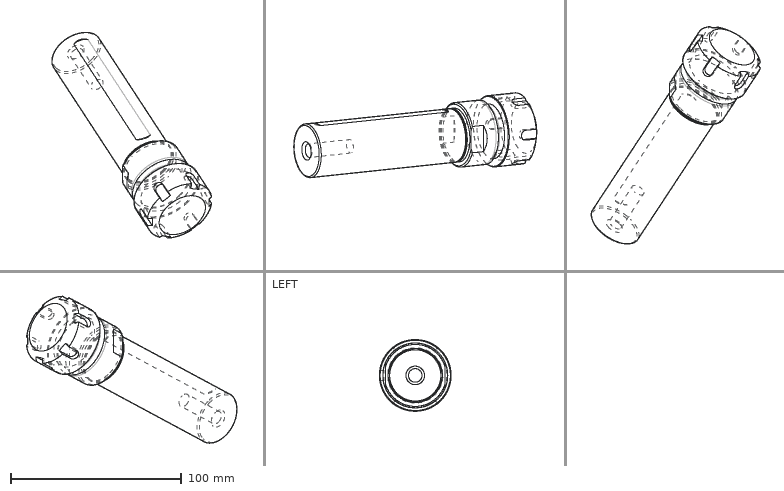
import cadquery as cq
import math

total_length = 147.3
shank_radius = 15.9
shank_chamfer = 0.9

groove_start = 98.9
groove_end = 99.7
groove_radius = 15.54

collar_start = 101.5
collar_radius = 19.08
collar_chamfer = 0.9
collar_cylinder_end = 117.4
collar_taper_start = 119.0
collar_rim_radius = 19.0
collar_taper_angle = 55
neck_radius = 16.2
taper_fillet = 1.0

nut_start = 124.8
nut_radius = 21.0
nut_chamfer = 0.5
nut_cone_start = 143.5
nut_face_radius = 15.0

slot_count = 6
slot_width = 5.9
slot_start = 133.5
slot_floor_radius = 18.4

wrench_half_width = 17.4
wrench_flat_end = 109.8

flat_start = 5.9
flat_end = 94.7
flat_width = 9.1
flat_end_bulge = 1.3

hole_radius = 4.0
hole_depth = 29.5
countersink_radius = 5.5


def revolved_body():
    slope = math.radians(collar_taper_angle)
    taper_foot = collar_taper_start + (collar_rim_radius - neck_radius) / math.tan(slope)
    tangent_length = taper_fillet * math.tan(slope / 2)
    fillet_start = (
        taper_foot - tangent_length * math.cos(slope),
        neck_radius + tangent_length * math.sin(slope),
    )
    fillet_end = (taper_foot + tangent_length, neck_radius)
    profile = (
        cq.Workplane("XY")
        .lineTo(0, shank_radius - shank_chamfer)
        .lineTo(shank_chamfer, shank_radius)
        .lineTo(groove_start, shank_radius)
        .lineTo(groove_start, groove_radius)
        .lineTo(groove_end, groove_radius)
        .lineTo(groove_end, shank_radius)
        .lineTo(collar_start, shank_radius)
        .lineTo(collar_start, collar_radius - collar_chamfer)
        .lineTo(collar_start + collar_chamfer, collar_radius)
        .lineTo(collar_cylinder_end, collar_radius)
        .lineTo(collar_taper_start, collar_rim_radius)
        .lineTo(*fillet_start)
        .tangentArcPoint(fillet_end, relative=False)
        .lineTo(nut_start, neck_radius)
        .lineTo(nut_start, nut_radius - nut_chamfer)
        .lineTo(nut_start + nut_chamfer, nut_radius)
        .lineTo(nut_cone_start, nut_radius)
        .lineTo(total_length, nut_face_radius)
        .lineTo(total_length, 0)
        .close()
    )
    return profile.revolve(360, (0, 0, 0), (1, 0, 0))


def spanner_slot(angle):
    """Round-ended slot cut from outside down to a flat floor, open at the front."""
    half_width = slot_width / 2
    arc_center = slot_start + half_width
    return (
        cq.Workplane("XZ", origin=(0, -slot_floor_radius, 0))
        .moveTo(total_length, -half_width)
        .lineTo(arc_center, -half_width)
        .threePointArc((slot_start, 0), (arc_center, half_width))
        .lineTo(total_length, half_width)
        .close()
        .extrude(nut_radius)
        .rotate((0, 0, 0), (1, 0, 0), angle)
    )


def wrench_flat():
    """Cutter for the -Y flat, ending in a 45 degree run-out."""
    outer = collar_radius + 1.5
    rise = outer - wrench_half_width
    return (
        cq.Workplane("XY")
        .moveTo(collar_start, -wrench_half_width)
        .lineTo(wrench_flat_end, -wrench_half_width)
        .lineTo(wrench_flat_end + rise, -outer)
        .lineTo(collar_start, -outer)
        .close()
        .extrude(collar_radius, both=True)
    )


def clamping_flat():
    """Cutter for the shank flat, with bowed ends in plan."""
    half_width = flat_width / 2
    flat_height = math.sqrt(shank_radius**2 - half_width**2)
    left = flat_start + flat_end_bulge
    right = flat_end - flat_end_bulge
    return (
        cq.Workplane("XY", origin=(0, 0, flat_height))
        .moveTo(left, -half_width)
        .lineTo(right, -half_width)
        .threePointArc((flat_end, 0), (right, half_width))
        .lineTo(left, half_width)
        .threePointArc((flat_start, 0), (left, -half_width))
        .close()
        .extrude(shank_radius)
    )


def end_hole():
    """Blind hole with a 45 degree countersink at the shank end."""
    countersink_depth = countersink_radius - hole_radius
    return (
        cq.Workplane("XY")
        .lineTo(0, countersink_radius)
        .lineTo(countersink_depth, hole_radius)
        .lineTo(hole_depth, hole_radius)
        .lineTo(hole_depth, 0)
        .close()
        .revolve(360, (0, 0, 0), (1, 0, 0))
    )


result = revolved_body()
for index in range(slot_count):
    result = result.cut(spanner_slot(index * 360 / slot_count))
flat_cutter = wrench_flat()
result = result.cut(flat_cutter).cut(flat_cutter.mirror("XZ"))
result = result.cut(clamping_flat()).cut(end_hole())